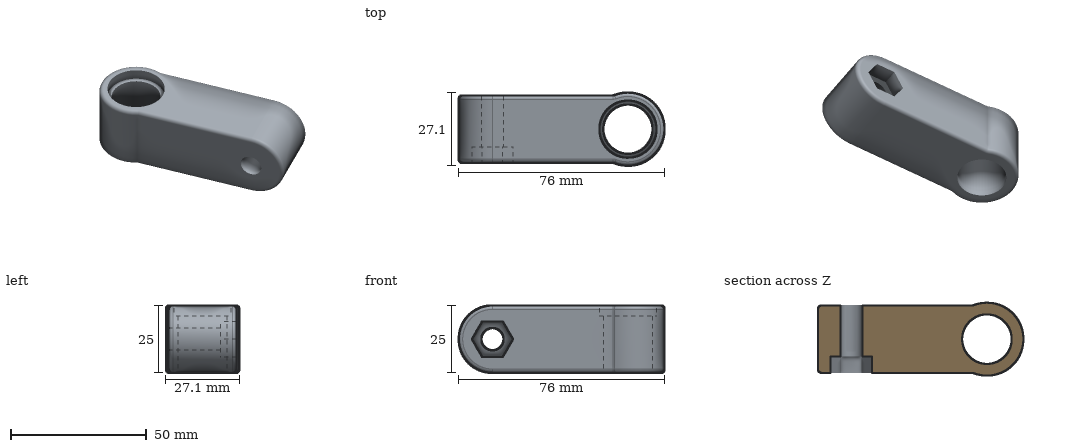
import cadquery as cq

length = 76.0
height = 25.0
arm_width = 25.0
edge_round = 1.5
corner_blend = 1.5

bore_diameter = 18.1
seat_diameter = 21.1
seat_depth = 4.0
ring_wall = 3.0
ring_radius = seat_diameter / 2 + ring_wall

bolt_diameter = 8.1
nut_across_flats = 13.1
nut_depth = 6.0
corner_turn = 30.0

pivot_radius = height / 2
ring_x = length - pivot_radius - ring_radius


def arm_blank():
    """Straight arm with a half-round end about the pivot axis, joined to the ring."""
    pivot_end = cq.Workplane("XZ").circle(pivot_radius).extrude(arm_width / 2, both=True)
    beam = cq.Workplane("XY").box(ring_x, arm_width, height, centered=(False, True, True))
    ring = (
        cq.Workplane("XY")
        .center(ring_x, 0)
        .circle(ring_radius)
        .extrude(height / 2, both=True)
    )
    return pivot_end.union(beam).union(ring)


def round_edges(blank):
    """Blend the inner corners beside the ring, then round the whole rim."""
    blended = blank.edges("|Z").edges("<X").fillet(corner_blend)
    return blended.edges("|X").fillet(edge_round)


def shaft_bore():
    """Through bore with a wider seat at the top."""
    bore = cq.Workplane("XY").center(ring_x, 0).circle(bore_diameter / 2).extrude(height / 2, both=True)
    seat = (
        cq.Workplane("XY", origin=(ring_x, 0, height / 2))
        .circle(seat_diameter / 2)
        .extrude(-seat_depth)
    )
    return bore.union(seat)


def bolt_hole():
    """Cross hole with a hexagon nut pocket in the -Y side."""
    hole = cq.Workplane("XZ").circle(bolt_diameter / 2).extrude(arm_width / 2, both=True)
    pocket = (
        cq.Workplane("XZ", origin=(0, -arm_width / 2, 0))
        .polygon(6, nut_across_flats, circumscribed=True)
        .extrude(-nut_depth)
        .rotate((0, 0, 0), (0, 1, 0), corner_turn)
    )
    return hole.union(pocket)


result = round_edges(arm_blank()).cut(shaft_bore()).cut(bolt_hole())